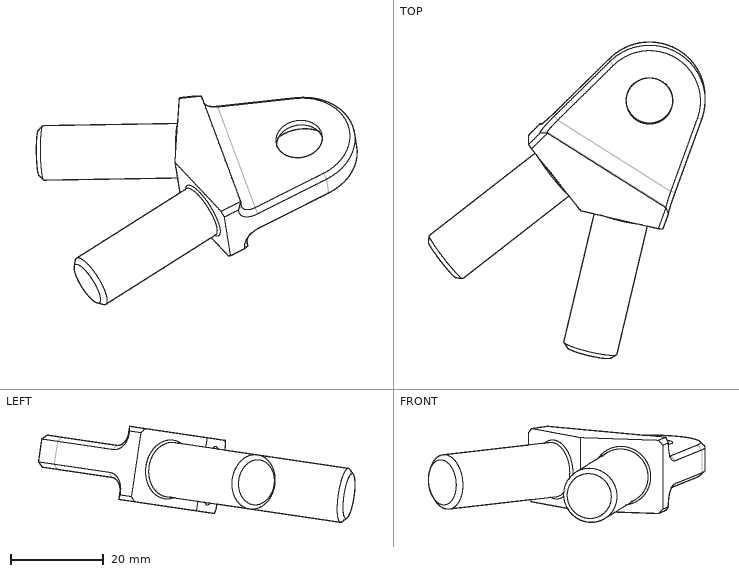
import cadquery as cq
import math


hole_diameter = 10.05
recess_diameter = 16.0
lip_thickness = 1.65
lug_radius = 12.0
lug_thickness = 7.0
block_height = 16.0
block_back = 17.1
face_distance = 26.0
side_flare = 12.7
pin_angle = 19.3
pin_diameter = 11.8
pin_reach = 56.8
pin_chamfer = 1.0
foot_flare = 0.5
pin_embed = 0.7
edge_chamfer = 1.0
root_radius = 3.0
turn_about_z = -32.5
tilt_about_x = 8.4
tolerance = 0.001

flare = math.radians(side_flare)
spread = math.radians(pin_angle)
tangent_x = lug_radius * math.cos(flare)
tangent_y = lug_radius * math.sin(flare)
apex_y = -face_distance / math.cos(spread)
corner_det = math.cos(flare - spread)
corner_x = (lug_radius * math.cos(spread) + face_distance * math.sin(flare)) / corner_det
corner_y = (lug_radius * math.sin(spread) - face_distance * math.cos(flare)) / corner_det


def side_x(y):
    """Half width of the outline on its straight sides."""
    return (lug_radius - y * math.sin(flare)) / math.cos(flare)


def make_side_profile():
    """Stepped side shape: thin lug, concave roots and thick block, as a wide solid."""
    lug_top = lug_thickness / 2
    block_top = block_height / 2
    root_front = -block_back + root_radius
    root_top = lug_top + root_radius
    diagonal = root_radius * (1 - math.sqrt(0.5))
    root_mid = (-block_back + diagonal, lug_top + diagonal)
    return (
        cq.Workplane("YZ")
        .moveTo(lug_radius, -lug_top)
        .lineTo(lug_radius, lug_top)
        .lineTo(root_front, lug_top)
        .threePointArc(root_mid, (-block_back, root_top))
        .lineTo(-block_back, block_top)
        .lineTo(apex_y, block_top)
        .lineTo(apex_y, -block_top)
        .lineTo(-block_back, -block_top)
        .lineTo(-block_back, -root_top)
        .threePointArc((root_mid[0], -root_mid[1]), (root_front, -lug_top))
        .close()
        .extrude(2 * corner_x, both=True)
    )


def make_body():
    """Flared, round-ended outline cut to the side profile, with chamfered rims."""
    outline = (
        cq.Workplane("XY")
        .moveTo(-corner_x, corner_y)
        .lineTo(-tangent_x, tangent_y)
        .threePointArc((0, lug_radius), (tangent_x, tangent_y))
        .lineTo(corner_x, corner_y)
        .lineTo(0, apex_y)
        .close()
        .extrude(block_height / 2, both=True)
    )
    solid = outline.intersect(make_side_profile()).clean()
    rims = []
    for edge in solid.edges("not(|Z or |X)").vals():
        middle = edge.positionAt(0.5)
        on_side = abs(abs(middle.x) - side_x(middle.y)) < tolerance
        on_round_end = middle.y > tangent_y
        if on_side or on_round_end:
            rims.append(edge)
    return solid.newObject(rims).chamfer(edge_chamfer)


def make_pin(angle):
    """Round pin with a conical foot and chamfered tip, square to its block face."""
    pin_radius = pin_diameter / 2
    foot_radius = pin_radius + foot_flare
    pin = (
        cq.Workplane("XY")
        .moveTo(0, -face_distance + pin_embed)
        .lineTo(foot_radius, -face_distance + pin_embed)
        .lineTo(foot_radius, -face_distance)
        .lineTo(pin_radius, -face_distance - foot_flare)
        .lineTo(pin_radius, -pin_reach + pin_chamfer)
        .lineTo(pin_radius - pin_chamfer, -pin_reach)
        .lineTo(0, -pin_reach)
        .close()
        .revolve(360, (0, 0, 0), (0, 1, 0))
    )
    return pin.rotate((0, 0, 0), (0, 0, 1), angle)


def make_bore():
    """Through hole opening into a wide recess below the top lip."""
    lug_top = lug_thickness / 2
    hole = cq.Workplane("XY").circle(hole_diameter / 2).extrude(lug_thickness, both=True)
    recess = (
        cq.Workplane("XY", origin=(0, 0, lug_top - lip_thickness))
        .circle(recess_diameter / 2)
        .extrude(-lug_thickness)
    )
    return hole.union(recess)


body = make_body()
for angle in (pin_angle, -pin_angle):
    body = body.union(make_pin(angle))
body = body.cut(make_bore())

result = body.rotate((0, 0, 0), (0, 0, 1), turn_about_z).rotate((0, 0, 0), (1, 0, 0), tilt_about_x)